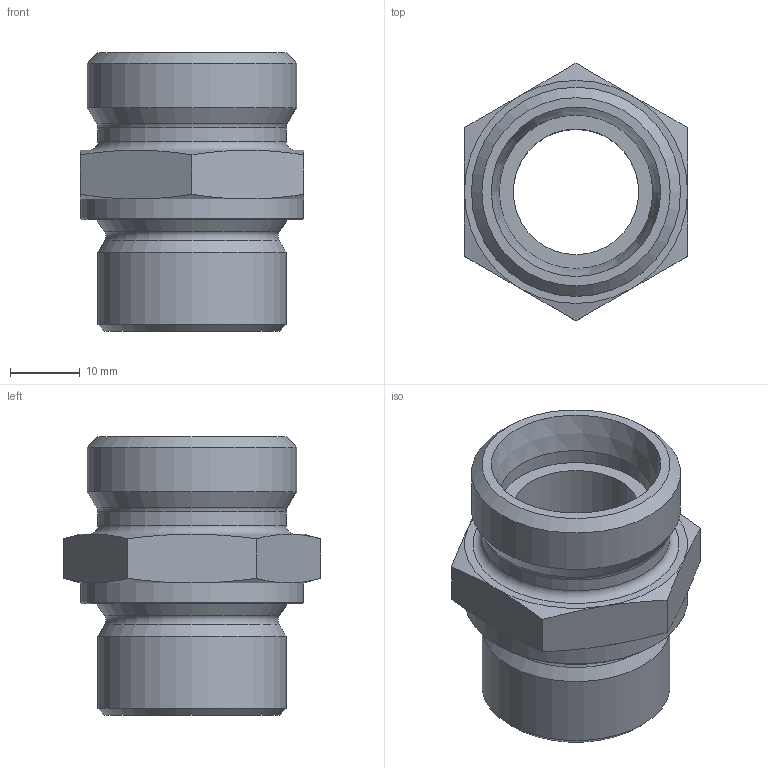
import cadquery as cq
import math

total_height = 40.0
collar_bottom = 16.0
hex_bottom = 19.0
hex_top = 26.0

stud_radius = 27.0 / 2
stud_chamfer = 1.0
stud_groove_start = 11.35
groove_radius = 12.33
groove_round = 1.15
groove_lower_angle = math.radians(30)
groove_upper_angle = math.radians(35)

across_flats = 32.0
collar_radius = across_flats / 2
collar_edge = 0.2
hex_chamfer_angle = math.radians(15)

neck_radius = 27.0 / 2
neck_fillet = 1.3
neck_round = 1.2
head_radius = 30.0 / 2
head_bottom = 32.1
head_taper_angle = math.radians(30)
head_chamfer = 1.5

bore_radius = 18.0 / 2
socket_radius = 22.0 / 2
socket_depth = 7.5
cone_mouth_radius = 24.3 / 2
cone_half_angle = math.radians(12)


def arc_point(center, radius, angle):
    """Point at the given angle on an arc in the (radius, height) plane."""
    return center[0] + radius * math.cos(angle), center[1] + radius * math.sin(angle)


def make_turned_body():
    """Revolved outer shape: stud, groove, collar, neck and head."""
    groove_x = groove_radius + groove_round
    lower_x = groove_x - groove_round * math.cos(groove_lower_angle)
    lower_z = stud_groove_start + (stud_radius - lower_x) / math.tan(groove_lower_angle)
    groove_center = (groove_x, lower_z + groove_round * math.sin(groove_lower_angle))
    groove_middle = arc_point(groove_center, groove_round, math.pi)
    groove_end = arc_point(groove_center, groove_round, math.pi - groove_upper_angle)
    groove_exit = groove_end[0] + (collar_bottom - groove_end[1]) * math.tan(groove_upper_angle)

    fillet_center = (neck_radius + neck_fillet, hex_top + neck_fillet)
    fillet_middle = arc_point(fillet_center, neck_fillet, math.radians(225))

    round_x = neck_radius + neck_round
    taper_x = round_x - neck_round * math.cos(head_taper_angle)
    taper_z = head_bottom - (head_radius - taper_x) / math.tan(head_taper_angle)
    round_center = (round_x, taper_z - neck_round * math.sin(head_taper_angle))
    round_middle = arc_point(round_center, neck_round, math.pi - head_taper_angle / 2)

    profile = (
        cq.Workplane("XZ")
        .lineTo(stud_radius - stud_chamfer, 0)
        .lineTo(stud_radius, stud_chamfer)
        .lineTo(stud_radius, stud_groove_start)
        .lineTo(lower_x, lower_z)
        .threePointArc(groove_middle, groove_end)
        .lineTo(groove_exit, collar_bottom)
        .lineTo(collar_radius - collar_edge, collar_bottom)
        .lineTo(collar_radius, collar_bottom + collar_edge)
        .lineTo(collar_radius, hex_top)
        .lineTo(fillet_center[0], hex_top)
        .threePointArc(fillet_middle, (neck_radius, fillet_center[1]))
        .lineTo(neck_radius, round_center[1])
        .threePointArc(round_middle, (taper_x, taper_z))
        .lineTo(head_radius, head_bottom)
        .lineTo(head_radius, total_height - head_chamfer)
        .lineTo(head_radius - head_chamfer, total_height)
        .lineTo(0, total_height)
        .close()
    )
    return profile.revolve(360, (0, 0, 0), (0, 1, 0))


def make_hexagon():
    """Hexagon with corners on the Y axis, chamfered conically at both ends."""
    corner_radius = across_flats / 2 / math.cos(math.pi / 6)
    corner_drop = (corner_radius - collar_radius) * math.tan(hex_chamfer_angle)
    prism = (
        cq.Workplane("XY", origin=(0, 0, hex_bottom))
        .polygon(6, 2 * corner_radius)
        .extrude(hex_top - hex_bottom)
        .rotate((0, 0, 0), (0, 0, 1), 90)
    )
    envelope = (
        cq.Workplane("XZ")
        .moveTo(0, hex_bottom)
        .lineTo(collar_radius, hex_bottom)
        .lineTo(corner_radius, hex_bottom + corner_drop)
        .lineTo(corner_radius, hex_top - corner_drop)
        .lineTo(collar_radius, hex_top)
        .lineTo(0, hex_top)
        .close()
        .revolve(360, (0, 0, 0), (0, 1, 0))
    )
    return prism.intersect(envelope)


def make_bore():
    """Through bore with a cylindrical tube socket and a conical mouth."""
    cone_depth = (cone_mouth_radius - socket_radius) / math.tan(cone_half_angle)
    socket_floor = total_height - socket_depth
    return (
        cq.Workplane("XZ")
        .lineTo(bore_radius, 0)
        .lineTo(bore_radius, socket_floor)
        .lineTo(socket_radius, socket_floor)
        .lineTo(socket_radius, total_height - cone_depth)
        .lineTo(cone_mouth_radius, total_height)
        .lineTo(0, total_height)
        .close()
        .revolve(360, (0, 0, 0), (0, 1, 0))
    )


result = make_turned_body().union(make_hexagon()).cut(make_bore())